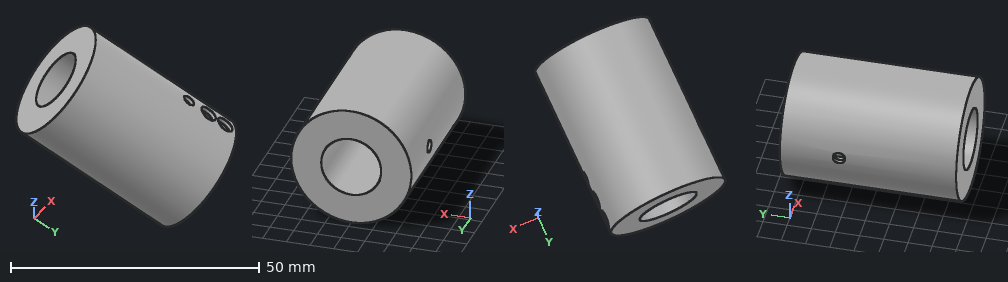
import cadquery as cq

OUTER_DIAMETER = 25.4
BORE_DIAMETER = 12.65
LENGTH = 36.5
WALL = 1.0

VENT_DIAMETER = 2.5
VENT_FROM_END = 12.25
HOLE_Z = 0.5
PORT_DIAMETER = 3.66
FIRST_PORT_FROM_END = 2.85
PORT_SPACING = 4.3
PORT_COUNT = 2

LEFT = -1
RIGHT = 1


def tube(outer_diameter, inner_diameter, length):
    """Tube along the Y axis, centred on the origin."""
    ring = cq.Workplane("XZ").circle(outer_diameter / 2).circle(inner_diameter / 2)
    return ring.extrude(length / 2, both=True)


def hollow_sleeve():
    """Sleeve with a closed ring-shaped hollow inside its walls."""
    body = tube(OUTER_DIAMETER, BORE_DIAMETER, LENGTH)
    hollow = tube(OUTER_DIAMETER - 2 * WALL, BORE_DIAMETER + 2 * WALL, LENGTH - 2 * WALL)
    return body.cut(hollow)


def shell_hole(side, diameter, from_end):
    """Cutter along X for a round hole that stops inside the hollow on one side."""
    y = LENGTH / 2 - from_end
    hollow_middle = (OUTER_DIAMETER + BORE_DIAMETER) / 4
    reach = OUTER_DIAMETER / 2 + WALL - hollow_middle
    plane = cq.Workplane("YZ", origin=(side * hollow_middle, y, HOLE_Z))
    return plane.circle(diameter / 2).extrude(side * reach)


result = hollow_sleeve()

for side in (LEFT, RIGHT):
    result = result.cut(shell_hole(side, VENT_DIAMETER, VENT_FROM_END))

for index in range(PORT_COUNT):
    from_end = FIRST_PORT_FROM_END + index * PORT_SPACING
    result = result.cut(shell_hole(RIGHT, PORT_DIAMETER, from_end))